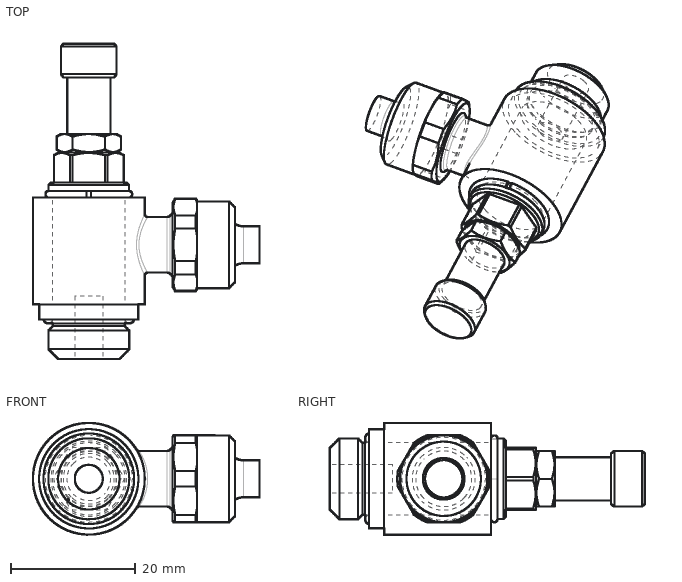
import cadquery as cq
import math


overall_x = 36.5
housing_d = 18.0
housing_top = 7.6
housing_bottom = -9.6
bore_d = 11.6
outlet_d = 9.0
outlet_fillet = 0.45
outlet_flare_start = 12.6
outlet_flare_r = 0.7
outlet_end = overall_x - housing_d / 2

union_start = 13.45
union_hex_end = 17.4
union_flats = 14.0
union_corner_d = 14.95
union_chamfer = 0.45
union_inner_chamfer = 0.2
union_end = 23.55
union_end_d = 12.0
union_end_chamfer = (union_flats - union_end_d) / 2

spigot_d = 6.0
spigot_flare_d = 6.7
spigot_flare_length = 1.35

bolt_length = 50.75
bolt_bottom = -18.35
bolt_top = bolt_bottom + bolt_length
head_d = 13.05
head_chamfer = 1.55
head_top = -13.8
neck_chamfer = (head_d - bore_d) / 2
collar_d = 16.0
collar_bottom = -12.05
seal_d = 14.6
seal_bottom = -12.65
inlet_d = 4.5
inlet_depth = 10.15

ring_d = 14.0
ring_top = 8.7
ring_slot = 0.65
ring_slot_floor = 6.4
shoulder_d = 13.0
shoulder_top = 10.0
shoulder_chamfer = 0.4
hex_top = 14.85
hex_flats = 10.0
hex_corner_d = 11.25
nut_top = 17.85
nut_flats = 9.0
corner_chamfer = 0.45
hex_cone_ratio = math.tan(math.pi / 3)
stem_d = 7.0
knob_bottom = 26.9
knob_d = 9.0
knob_end_d = 8.15
knob_top_chamfer = 0.5
knob_bottom_chamfer = 0.55


def y_plane(y):
    """Plane facing +Y at height y; its local x is X."""
    return cq.Plane(origin=(0, y, 0), xDir=(1, 0, 0), normal=(0, 1, 0))


def x_plane(x):
    """Plane facing +X at distance x; its local x is Y."""
    return cq.Plane(origin=(x, 0, 0), xDir=(0, 1, 0), normal=(1, 0, 0))


def rod(plane, diameter, length):
    return cq.Workplane(plane).circle(diameter / 2).extrude(length)


def section_plane(plane):
    """Half-section plane: local x is the radius, local y runs along the given plane's normal."""
    return cq.Plane(origin=plane.origin, xDir=plane.xDir, normal=plane.xDir.cross(plane.zDir))


def turned_solid(plane, outline):
    """Revolve (radius, height) points about the plane's normal, closing the outline on the axis."""
    bottom = outline[0][1]
    top = outline[-1][1]
    points = [(0, bottom), *outline, (0, top)]
    return cq.Workplane(section_plane(plane)).polyline(points).close().revolve(360, (0, 0), (0, 1))


def hexagon(plane, flats, length, corner_d, start_chamfer, end_chamfer):
    """Hexagon whose corners are turned to corner_d and whose ends are coned."""
    across_corners = flats / math.cos(math.pi / 6)
    prism = cq.Workplane(plane).polygon(6, across_corners).extrude(length)
    corner_r = corner_d / 2
    start_r = corner_r - start_chamfer * hex_cone_ratio
    end_r = corner_r - end_chamfer * hex_cone_ratio
    outline = [(corner_r, length - end_chamfer), (end_r, length)]
    if start_chamfer > 0:
        outline = [(start_r, 0), (corner_r, start_chamfer), *outline]
    else:
        outline = [(corner_r, 0), *outline]
    return prism.intersect(turned_solid(plane, outline))


def build_outlet():
    """Arm flare, union nut and hose spigot on the X axis."""
    nut = hexagon(x_plane(union_start), union_flats, union_hex_end - union_start,
                  union_corner_d, union_chamfer, union_inner_chamfer)
    sleeve = rod(x_plane(union_start), union_flats, union_end - union_start)
    sleeve = sleeve.faces(">X").chamfer(union_end_chamfer).faces("<X").chamfer(union_chamfer)
    spigot = rod(x_plane(union_end), spigot_d, outlet_end - union_end)
    outlet = build_arm_flare()
    for section in (nut, sleeve, spigot, build_spigot_flare()):
        outlet = outlet.union(section)
    return outlet


def build_arm_flare():
    """Concave fillet on the arm running out into a 45 degree cone at the union nut."""
    arm_r = outlet_d / 2
    length = union_start - outlet_flare_start
    half_turn = math.pi / 8
    arc_middle = (
        arm_r + outlet_flare_r * (1 - math.cos(half_turn)),
        outlet_flare_r * math.sin(half_turn),
    )
    cone_start_r = arm_r + outlet_flare_r * (1 - math.cos(math.pi / 4))
    cone_start = outlet_flare_r * math.sin(math.pi / 4)
    return (
        cq.Workplane(section_plane(x_plane(outlet_flare_start)))
        .lineTo(arm_r, 0)
        .threePointArc(arc_middle, (cone_start_r, cone_start))
        .lineTo(cone_start_r + length - cone_start, length)
        .lineTo(0, length)
        .close()
        .revolve(360, (0, 0), (0, 1))
    )


def build_spigot_flare():
    """Concave root of the spigot, tangent to its cylinder."""
    radius = spigot_d / 2
    rise = (spigot_flare_d - spigot_d) / 2
    arc_r = (spigot_flare_length**2 + rise**2) / (2 * rise)
    half_angle = math.asin(spigot_flare_length / arc_r) / 2
    middle = (
        radius + arc_r * (1 - math.cos(half_angle)),
        spigot_flare_length - arc_r * math.sin(half_angle),
    )
    return (
        cq.Workplane(section_plane(x_plane(union_end)))
        .moveTo(0, 0)
        .lineTo(spigot_flare_d / 2, 0)
        .threePointArc(middle, (radius, spigot_flare_length))
        .lineTo(0, spigot_flare_length)
        .close()
        .revolve(360, (0, 0), (0, 1))
    )


def build_housing():
    """Barrel with its side arm, filleted where they meet, and the outlet fittings."""
    barrel = rod(y_plane(housing_bottom), housing_d, housing_top - housing_bottom)
    arm = rod(x_plane(0), outlet_d, union_start)
    junction = cq.selectors.BoxSelector(
        (0, -outlet_d, -outlet_d), (housing_d, outlet_d, outlet_d), boundingbox=True)
    body = barrel.union(arm).edges(junction).edges("not %LINE").edges("not %CIRCLE").fillet(outlet_fillet)
    bore = rod(y_plane(housing_bottom), bore_d, housing_top - housing_bottom)
    return body.union(build_outlet()).cut(bore)


def build_retaining_ring():
    """Split ring with a rounded rim, lying on the housing."""
    thickness = ring_top - housing_top
    rim_r = ring_d / 2
    flat_r = rim_r - thickness / 2
    ring = (
        cq.Workplane(section_plane(y_plane(housing_top)))
        .lineTo(flat_r, 0)
        .threePointArc((rim_r, thickness / 2), (flat_r, thickness))
        .lineTo(0, thickness)
        .close()
        .revolve(360, (0, 0), (0, 1))
    )
    slot_height = rim_r - ring_slot_floor
    slot = (
        cq.Workplane("XY")
        .box(ring_slot, thickness, slot_height, centered=(True, False, False))
        .translate((0, housing_top, ring_slot_floor))
    )
    return ring.cut(slot)


def build_lower_bolt():
    """Turned head, neck and collar, with the neck running on through the housing bore."""
    head_r = head_d / 2
    neck_r = bore_d / 2
    collar_r = collar_d / 2
    return turned_solid(y_plane(0), [
        (head_r - head_chamfer, bolt_bottom),
        (head_r, bolt_bottom + head_chamfer),
        (head_r, head_top),
        (neck_r, head_top + neck_chamfer),
        (neck_r, collar_bottom),
        (collar_r, collar_bottom),
        (collar_r, housing_bottom),
        (neck_r, housing_bottom),
        (neck_r, ring_top),
    ])


def build_seal():
    """O-ring shaped lip around the neck, partly sunk into the collar."""
    section_r = (seal_d - bore_d) / 4
    ring_r = seal_d / 2 - section_r
    return (
        cq.Workplane(section_plane(y_plane(0)))
        .center(ring_r, seal_bottom + section_r)
        .circle(section_r)
        .revolve(360, (-ring_r, 0), (-ring_r, 1))
    )


def build_hexes():
    """Chamfered shoulder, adjusting hexagon and lock nut, stacked above the ring."""
    shoulder = rod(y_plane(ring_top), shoulder_d, shoulder_top - ring_top)
    shoulder = shoulder.faces(">Y").chamfer(shoulder_chamfer)
    hex_body = hexagon(y_plane(shoulder_top), hex_flats, hex_top - shoulder_top,
                       hex_corner_d, 0, corner_chamfer)
    nut_corner_d = nut_flats / math.cos(math.pi / 6)
    nut = hexagon(y_plane(hex_top), nut_flats, nut_top - hex_top,
                  nut_corner_d, corner_chamfer, corner_chamfer)
    return shoulder.union(hex_body).union(nut)


def build_stem():
    """Adjusting stem with its knob."""
    stem_r = stem_d / 2
    knob_r = knob_d / 2
    knob_end_r = knob_end_d / 2
    return turned_solid(y_plane(0), [
        (stem_r, nut_top),
        (stem_r, knob_bottom),
        (knob_end_r, knob_bottom),
        (knob_r, knob_bottom + knob_bottom_chamfer),
        (knob_r, bolt_top - knob_top_chamfer),
        (knob_end_r, bolt_top),
    ])


def build_bolt():
    bolt = build_lower_bolt()
    for section in (build_seal(), build_retaining_ring(), build_hexes(), build_stem()):
        bolt = bolt.union(section)
    inlet = rod(y_plane(bolt_bottom), inlet_d, inlet_depth)
    return bolt.cut(inlet)


housing = build_housing()
bolt = build_bolt()
result = cq.Compound.makeCompound([housing.val(), bolt.val()])